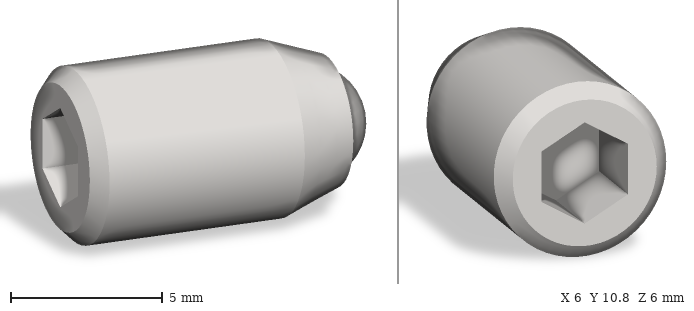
import cadquery as cq
import math

total_length = 10.8
body_diameter = 6.0
shank_length = 7.5
body_length = 9.55
nose_diameter = 4.51
drive_chamfer = 0.5
hex_across_flats = 3.0
hex_depth = 3.0
ball_diameter = 4.0

body_radius = body_diameter / 2
nose_radius = nose_diameter / 2
ball_radius = ball_diameter / 2
ball_center_y = total_length - ball_radius
hex_across_corners = hex_across_flats / math.cos(math.radians(30))


def make_ball():
    """Thrust ball whose crown stands proud of the nose face."""
    return cq.Workplane("XY").sphere(ball_radius).translate((0, ball_center_y, 0))


def make_screw_blank():
    """Turned body: chamfered drive end, cylindrical shank and tapered nose."""
    half_profile = (
        cq.Workplane("XY")
        .moveTo(0, 0)
        .lineTo(body_radius - drive_chamfer, 0)
        .lineTo(body_radius, drive_chamfer)
        .lineTo(body_radius, shank_length)
        .lineTo(nose_radius, body_length)
        .lineTo(0, body_length)
        .close()
    )
    return half_profile.revolve(360, (0, 0, 0), (0, 1, 0))


def make_hex_socket():
    """Hexagonal drive recess with two corners on the Z axis."""
    return (
        cq.Workplane("XZ")
        .transformed(rotate=(0, 0, 90))
        .polygon(6, hex_across_corners)
        .extrude(-hex_depth)
    )


def make_screw():
    """Screw body with its hex drive and a seat matching the ball."""
    return make_screw_blank().cut(make_hex_socket()).cut(make_ball())


screw = make_screw()
ball = make_ball()

result = cq.Compound.makeCompound([screw.val(), ball.val()])